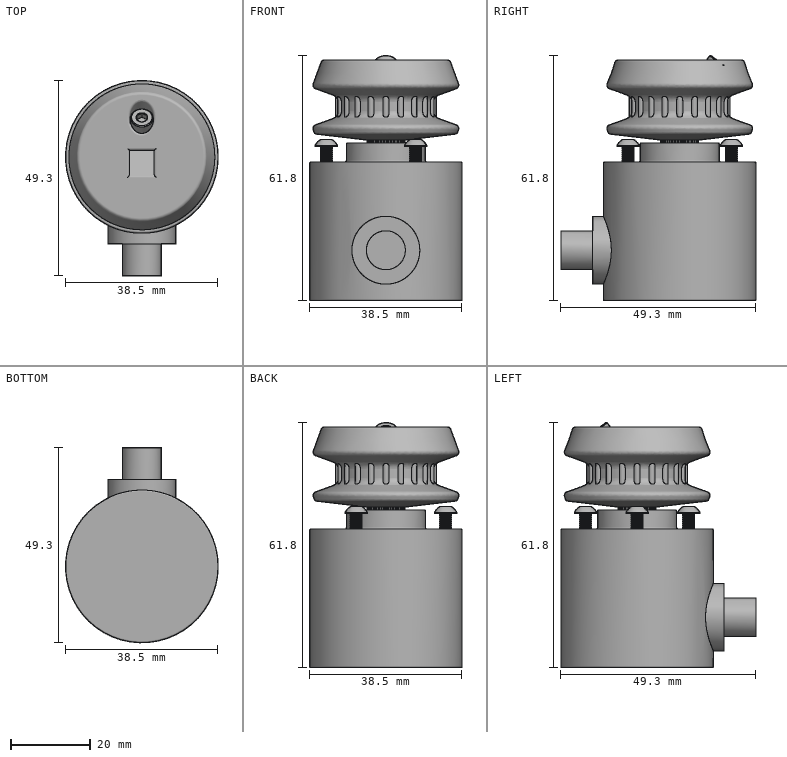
import cadquery as cq
import math

housing_diameter = 38.5
housing_height = 35.0
hub_diameter = 20.0
hub_top = 39.8
housing_round = 0.4
screw_hole_diameter = 3.0
screw_hole_depth = 4.0
screw_hole_circle_radius = 14.0
screw_hole_first_angle = 90
screw_count = 3

gland_diameter = 17.1
cable_diameter = 9.85
gland_height = 12.75
gland_seat = 15.45
gland_face = 21.95
cable_end = 30.0

drum_top = 60.7
drum_middle = 48.9
drum_base = 40.5
flange_radius = 18.7
flange_half_gap = 4.9
flange_slope = 20
flange_round = 1.0
drum_top_round = 0.85
lower_flange_thickness = 2.0
lower_flange_round = 0.8
waist_radius = 12.05
waist_round = 1.85
boss_diameter = 9.6
boss_groove_count = 36
boss_groove_depth = 0.25
rib_count = 20
rib_diameter = 1.55
rib_crest_radius = 12.75

overall_height = 61.8
clamp_tilt = 37
set_screw_diameter = 5.7
set_screw_hole_diameter = 6.0
set_screw_chamfer = 0.25
set_screw_length = 8.0
set_screw_end_y = 9.95
socket_across_flats = 2.5
socket_depth = 1.85
socket_mouth_diameter = 2.9
slot_width = 6.2
slot_height = 3.3
slot_floor_y = -5.1
mouth_round = 0.6

screw_circle_radius = 15.0
screw_first_angle = 60
head_diameter = 5.7
head_flat_diameter = 2.8
head_height = 1.75
head_rim_height = 0.2
head_bulge = 0.1
thread_diameter = 3.0
thread_pitch = 0.5
thread_turns = 8
thread_depth = 0.2
shank_length = thread_turns * thread_pitch

tilt_sin = math.sin(math.radians(clamp_tilt))
tilt_cos = math.cos(math.radians(clamp_tilt))
set_screw_end_radius = set_screw_diameter / 2 - set_screw_chamfer
set_screw_end_z = overall_height - set_screw_end_radius * tilt_sin
clamp_plane = cq.Plane(
    origin=(0, set_screw_end_y, set_screw_end_z),
    xDir=(1, 0, 0),
    normal=(0, tilt_sin, tilt_cos),
)

slot_floor_depth = (set_screw_end_y - slot_floor_y) * tilt_sin + (set_screw_end_z - drum_top) * tilt_cos
slot_end = set_screw_hole_diameter / 2
slot_length = 2 * flange_radius


def cylinder_along_y(diameter, near, far):
    """Cylinder at gland height reaching from y = -near to y = -far."""
    plane = cq.Workplane("XZ", origin=(0, -near, gland_height))
    return plane.circle(diameter / 2).extrude(far - near)


def make_housing():
    can = cq.Workplane("XY").circle(housing_diameter / 2).extrude(housing_height)
    can = can.edges().fillet(housing_round)
    hub = cq.Workplane("XY", origin=(0, 0, housing_height)).circle(hub_diameter / 2)
    hub = hub.extrude(hub_top - housing_height).faces(">Z").edges().fillet(housing_round)
    body = can.union(hub)
    hub_foot = cq.selectors.BoxSelector(
        (-hub_diameter / 2 - 0.6, -hub_diameter / 2 - 0.6, housing_height - 0.05),
        (hub_diameter / 2 + 0.6, hub_diameter / 2 + 0.6, housing_height + 0.05),
        boundingbox=True,
    )
    body = body.edges(hub_foot).fillet(housing_round)
    screw_holes = (
        cq.Workplane("XY", origin=(0, 0, housing_height))
        .polarArray(screw_hole_circle_radius, screw_hole_first_angle, 360, screw_count)
        .circle(screw_hole_diameter / 2)
        .extrude(-screw_hole_depth)
    )
    gland_recess = cylinder_along_y(gland_diameter, gland_seat, housing_diameter)
    return body.cut(screw_holes).cut(gland_recess)


def make_cable_gland():
    flange = cylinder_along_y(gland_diameter, gland_seat, gland_face)
    cable = cylinder_along_y(cable_diameter, gland_face, cable_end)
    return flange.union(cable)


def make_drum_blank():
    """Two flanges and the waist between them, turned with rounded corners."""
    slope = math.tan(math.radians(flange_slope))
    top_radius = flange_radius - slope * (drum_top - drum_middle - flange_half_gap)
    lower_radius = flange_radius - slope * lower_flange_thickness
    lower_edge = drum_middle - flange_half_gap - lower_flange_thickness
    waist_half = flange_half_gap - slope * (flange_radius - waist_radius)
    corners = [
        (top_radius, drum_top, drum_top_round),
        (flange_radius, drum_middle + flange_half_gap, flange_round),
        (waist_radius, drum_middle + waist_half, waist_round),
        (waist_radius, drum_middle - waist_half, waist_round),
        (flange_radius, drum_middle - flange_half_gap, flange_round),
        (lower_radius, lower_edge, lower_flange_round),
    ]
    outline = [(0, drum_top)]
    outline += [(radius, height) for radius, height, _ in corners]
    outline += [(boss_diameter / 2, drum_base), (boss_diameter / 2, hub_top), (0, hub_top)]
    blank = cq.Workplane("XZ").polyline(outline).close().revolve(360, (0, 0), (0, 1))
    for _, height, round_radius in corners:
        corner_ring = cq.selectors.NearestToPointSelector((0, 0, height))
        blank = blank.edges(corner_ring).fillet(round_radius)
    return blank


def make_ribs():
    """Upright round bars that fade into the rounded ends of the waist."""
    return (
        cq.Workplane("XY", origin=(0, 0, drum_middle - flange_half_gap))
        .polarArray(rib_crest_radius - rib_diameter / 2, 0, 360, rib_count)
        .circle(rib_diameter / 2)
        .extrude(2 * flange_half_gap)
    )


def make_boss_grooves():
    """Upright V-grooves that serrate the boss between the drum and the hub."""
    half_spacing = 180 / boss_groove_count
    return (
        cq.Workplane("XY", origin=(0, 0, hub_top))
        .polarArray(boss_diameter / 2, half_spacing, 360, boss_groove_count)
        .polygon(4, 2 * boss_groove_depth)
        .extrude(drum_base - hub_top)
    )


def make_rope_slot():
    """Slot that dives from the drum top towards +Y, square to the set screw."""
    return (
        cq.Workplane(clamp_plane)
        .workplane(offset=-slot_floor_depth)
        .center(0, slot_end - slot_length / 2)
        .rect(slot_width, slot_length)
        .extrude(slot_height)
    )


def make_set_screw_hole():
    """Tilted hole from above the drum top down to the floor of the rope slot."""
    return (
        cq.Workplane(clamp_plane)
        .workplane(offset=-slot_floor_depth)
        .circle(set_screw_hole_diameter / 2)
        .extrude(slot_floor_depth + set_screw_length)
    )


def make_drum():
    drum = make_drum_blank().union(make_ribs()).cut(make_boss_grooves())
    drum = drum.cut(make_rope_slot()).cut(make_set_screw_hole())
    mouth_region = cq.selectors.BoxSelector(
        (-slot_width, -flange_radius, drum_top - mouth_round),
        (slot_width, flange_radius, drum_top + mouth_round),
    )
    return drum.faces(">Z").edges(mouth_region).edges("not(%CIRCLE)").fillet(mouth_round)


def make_set_screw():
    """Headless screw with chamfered ends and a hexagon socket in its upper end."""
    screw = cq.Workplane(clamp_plane).circle(set_screw_diameter / 2).extrude(-set_screw_length)
    screw = screw.edges("%CIRCLE").chamfer(set_screw_chamfer)
    corner_diameter = socket_across_flats / math.cos(math.pi / 6)
    socket = (
        cq.Workplane(clamp_plane)
        .transformed(rotate=(0, 0, 90))
        .polygon(6, corner_diameter)
        .extrude(-socket_depth)
    )
    mouth_radius = socket_mouth_diameter / 2
    countersink = cq.Solid.makeCone(mouth_radius, 0, mouth_radius, clamp_plane.origin, -clamp_plane.zDir)
    return screw.cut(socket).cut(cq.Workplane(countersink))


def make_button_screw(angle):
    """Domed head over a shank ringed with thread ridges, turned as one outline."""
    head_base = housing_height + shank_length
    crest = thread_diameter / 2
    root = crest - thread_depth
    quarter_pitch = thread_pitch / 4
    outline = cq.Workplane("XZ").moveTo(0, housing_height).lineTo(root, housing_height)
    for turn in range(thread_turns):
        start = housing_height + turn * thread_pitch
        outline = (
            outline.lineTo(root, start + quarter_pitch)
            .lineTo(crest, start + 2 * quarter_pitch)
            .lineTo(crest, start + 3 * quarter_pitch)
            .lineTo(root, start + thread_pitch)
        )
    rim = head_diameter / 2
    flat = head_flat_diameter / 2
    dome_middle = (
        (rim + flat) / 2 + head_bulge,
        head_base + (head_rim_height + head_height) / 2 + head_bulge,
    )
    outline = (
        outline.lineTo(rim, head_base)
        .lineTo(rim, head_base + head_rim_height)
        .threePointArc(dome_middle, (flat, head_base + head_height))
        .lineTo(0, head_base + head_height)
        .close()
    )
    screw = outline.revolve(360, (0, 0), (0, 1))
    return screw.translate((screw_circle_radius, 0, 0)).rotate((0, 0, 0), (0, 0, 1), angle)


housing = make_housing()
cable_gland = make_cable_gland()
drum = make_drum()
set_screw = make_set_screw()
button_screws = [
    make_button_screw(screw_first_angle + index * 360 / screw_count) for index in range(screw_count)
]
result = cq.Compound.makeCompound(
    [housing.val(), cable_gland.val(), drum.val(), set_screw.val()]
    + [screw.val() for screw in button_screws]
)